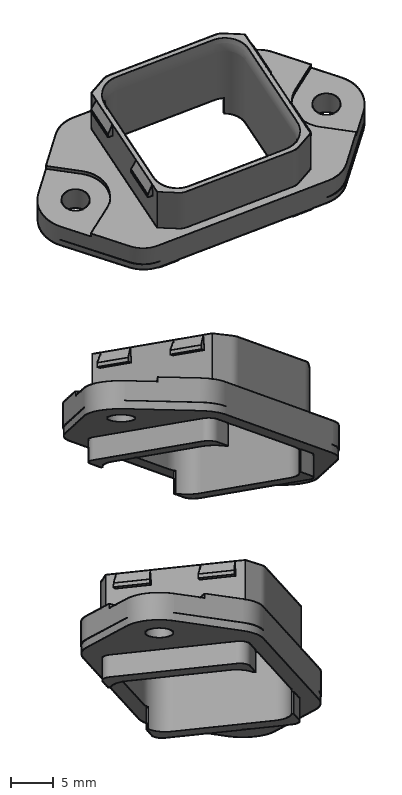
import cadquery as cq
import math

length = 42.0
width = 22.2
height = 13.2

plate_thickness = 3.95
plate_band_height = 1.0
ear_radius = 4.5
side_corner_radius = 4.0
side_corner_y = 11.2
band_corner_radius = 4.3
band_corner_y = 11.0

screw_hole_diameter = 3.3
seat_radius = 4.07
seat_wall_angle = math.radians(37.5)
seat_depth = 0.55

tower_width = 20.2
tower_corner_x = 1.5
tower_corner_angle = math.radians(60)
tower_corner_blend = 1.9

opening_width = 18.15
opening_corner_radius = 2.75
lead_in_width = 0.4
lead_in_depth = 1.25
lead_in_blend = 4.0

leg_height = 2.77
leg_outer_y = band_corner_y
leg_inner_y = 7.5
leg_corner_radius = 1.25

clip_spacing = 10.4
clip_reach = 0.65
clip_height = 1.9
clip_slope_height = 1.4
clip_bottom_width = 4.45
clip_top_width = 4.2
clip_straight_height = 0.25

plate_bottom = leg_height
plate_top = plate_bottom + plate_thickness
screw_y = length / 2 - ear_radius
tower_half = tower_width / 2
band_top = plate_bottom + plate_band_height

overlap = 0.2


def plate_layer(bottom, top, corner_radius, corner_y):
    """Slice of the flange: ear and side arcs joined by their common tangent flanks."""
    corner_x = width / 2 - corner_radius
    rise = screw_y - corner_y
    narrowing = (ear_radius - corner_radius) / math.hypot(corner_x, rise)
    flank_angle = math.atan2(rise, corner_x) + math.asin(narrowing)

    def corner_point(angle):
        """Point on the +X +Y side arc, with the angle measured from the Y axis."""
        return corner_x + corner_radius * math.sin(angle), corner_y + corner_radius * math.cos(angle)

    ear_x = ear_radius * math.sin(flank_angle)
    ear_y = screw_y + ear_radius * math.cos(flank_angle)
    flank_x, flank_y = corner_point(flank_angle)
    middle_x, middle_y = corner_point((flank_angle + math.pi / 2) / 2)
    side_x = width / 2
    return (
        cq.Workplane("XY", origin=(0, 0, bottom))
        .moveTo(side_x, -corner_y)
        .lineTo(side_x, corner_y)
        .threePointArc((middle_x, middle_y), (flank_x, flank_y))
        .lineTo(ear_x, ear_y)
        .threePointArc((0, length / 2), (-ear_x, ear_y))
        .lineTo(-flank_x, flank_y)
        .threePointArc((-middle_x, middle_y), (-side_x, corner_y))
        .lineTo(-side_x, -corner_y)
        .threePointArc((-middle_x, -middle_y), (-flank_x, -flank_y))
        .lineTo(-ear_x, -ear_y)
        .threePointArc((0, -length / 2), (ear_x, -ear_y))
        .lineTo(flank_x, -flank_y)
        .threePointArc((middle_x, -middle_y), (side_x, -corner_y))
        .close()
        .extrude(top - bottom)
    )


def screw_seat():
    """Shallow recess on the +Y ear: an arc round the screw with two straight walls out to the flanks."""
    sin_a = math.sin(seat_wall_angle)
    cos_a = math.cos(seat_wall_angle)
    wall_length = ear_radius + overlap
    arc_end_x = seat_radius * cos_a
    arc_end_y = screw_y - seat_radius * sin_a
    wall_end_x = arc_end_x + wall_length * sin_a
    wall_end_y = arc_end_y + wall_length * cos_a
    return (
        cq.Workplane("XY", origin=(0, 0, plate_top - seat_depth))
        .moveTo(-arc_end_x, arc_end_y)
        .threePointArc((0, screw_y - seat_radius), (arc_end_x, arc_end_y))
        .lineTo(wall_end_x, wall_end_y)
        .lineTo(wall_end_x, length)
        .lineTo(-wall_end_x, length)
        .lineTo(-wall_end_x, wall_end_y)
        .close()
        .extrude(seat_depth + overlap)
    )


def tower():
    """Square block whose corners are cut steeply and blended into the X sides."""
    corner_y = tower_corner_x * math.tan(tower_corner_angle)
    near_x = tower_half - tower_corner_x
    near_y = tower_half - corner_y
    block = (
        cq.Workplane("XY", origin=(0, 0, plate_top))
        .polyline([
            (near_x, tower_half), (tower_half, near_y), (tower_half, -near_y), (near_x, -tower_half),
            (-near_x, -tower_half), (-tower_half, -near_y), (-tower_half, near_y), (-near_x, tower_half),
        ])
        .close()
        .extrude(height - plate_top)
    )
    return block.edges("|Z and (<X or >X)").fillet(tower_corner_blend)


def opening():
    """Rounded square core that passes through the whole part."""
    return (
        cq.Workplane("XY")
        .rect(opening_width, opening_width)
        .extrude(height)
        .edges("|Z")
        .fillet(opening_corner_radius)
    )


def opening_edges(level):
    """Selector for the edges that run round the opening at one height."""
    reach = opening_width / 2 + lead_in_width / 2
    return cq.selectors.BoxSelector(
        (-reach, -reach, level - overlap),
        (reach, reach, level + overlap),
        boundingbox=True,
    )


def add_lead_in(body):
    """Slope the rim of the opening outward and blend the slope into the straight wall."""
    sloped = body.edges(opening_edges(height)).chamfer(lead_in_depth, lead_in_width)
    return sloped.edges(opening_edges(height - lead_in_depth)).fillet(lead_in_blend)


def leg():
    """Wall below the +Y side of the opening, with rounded outer corners."""
    depth = leg_outer_y - leg_inner_y
    return (
        cq.Workplane("XY")
        .center(0, (leg_outer_y + leg_inner_y) / 2)
        .rect(opening_width, depth)
        .extrude(plate_bottom)
        .edges("|Z and >Y")
        .fillet(leg_corner_radius)
    )


def clip(center_x):
    """Wedge on the +Y tower wall, slightly narrower toward the rim."""
    bottom = height - clip_height
    wall_y = tower_half - overlap
    outer_y = tower_half + clip_reach
    wedge = (
        cq.Workplane("YZ", origin=(center_x, 0, 0))
        .polyline([
            (wall_y, bottom), (outer_y, bottom), (outer_y, height - clip_slope_height),
            (tower_half, height), (wall_y, height),
        ])
        .close()
        .extrude(clip_bottom_width / 2, both=True)
    )
    half_bottom = clip_bottom_width / 2
    half_top = clip_top_width / 2
    shoulder = bottom + clip_straight_height
    front_shape = (
        cq.Workplane("XZ", origin=(center_x, 0, 0))
        .polyline([
            (-half_bottom, bottom), (half_bottom, bottom), (half_bottom, shoulder),
            (half_top, height), (-half_top, height), (-half_bottom, shoulder),
        ])
        .close()
        .extrude(-length)
    )
    return wedge.intersect(front_shape)


def both_ends(shape):
    """The shape together with its mirror image at the -Y end."""
    return shape.union(shape.mirror("XZ"))


result = plate_layer(plate_bottom, band_top, band_corner_radius, band_corner_y)
result = result.union(plate_layer(band_top, plate_top, side_corner_radius, side_corner_y))
result = result.union(tower())
result = result.union(both_ends(leg()))

result = result.cut(opening())
result = add_lead_in(result)

for side in (-1, 1):
    result = result.union(both_ends(clip(side * clip_spacing / 2)))

screw_holes = cq.Workplane("XY").pushPoints([(0, screw_y), (0, -screw_y)])
result = result.cut(screw_holes.circle(screw_hole_diameter / 2).extrude(height))
result = result.cut(both_ends(screw_seat()))